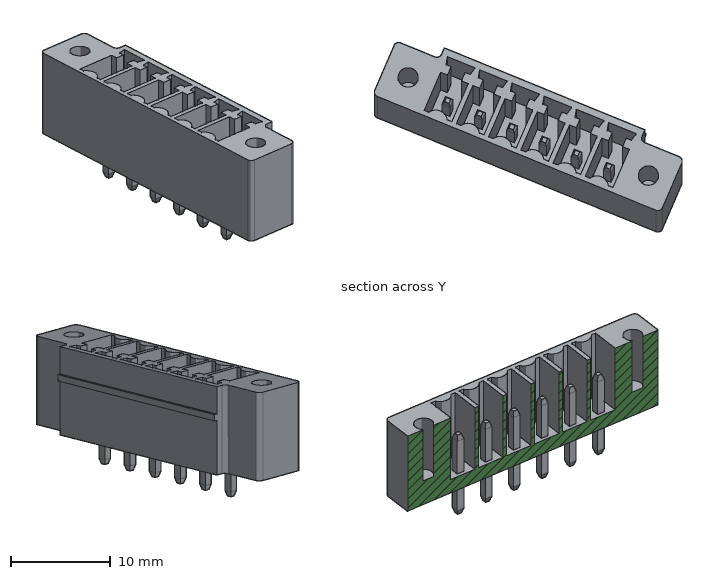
import cadquery as cq

length = 31.3
height = 9.2
flange_back_y = 3.0
front_y = -flange_back_y
rail_back_y = 4.23
rail_length = 21.82
corner_radius = 0.5

rib_depth = 0.3
rib_height = 0.65
rib_top_z = height - 2.85

pin_count = 6
pitch = 3.5
socket_depth = 7.5
socket_width = 3.0
socket_front_y = -2.5
shoulder_y = 1.75
neck_width = 1.53
dovetail_front_y = 2.7
dovetail_back_y = 3.5
dovetail_front_width = 2.63
key_radius = 1.15
key_rise = 0.55

pin_width = 0.85
pin_tip_width = 0.47
pin_tip_length = 0.6
pin_bottom_z = -3.4
pin_top_z = 6.25

screw_spacing = 26.15
screw_hole_diameter = 2.0
screw_hole_depth = 6.25


def make_housing():
    flange = (
        cq.Workplane("XY")
        .box(length, flange_back_y - front_y, height, centered=(True, False, False))
        .translate((0, front_y, 0))
        .edges("|Z")
        .fillet(corner_radius)
    )
    rail = cq.Workplane("XY").box(rail_length, rail_back_y, height, centered=(True, False, False))
    margin = corner_radius / 2
    half_rail = rail_length / 2
    inner_corners = cq.selectors.BoxSelector(
        (-half_rail - margin, flange_back_y - margin, -margin),
        (half_rail + margin, flange_back_y + margin, height + margin),
    )
    body = flange.union(rail).edges("|Z").edges(inner_corners).fillet(corner_radius)
    rib = (
        cq.Workplane("XY")
        .box(rail_length, 2 * rib_depth, rib_height)
        .translate((0, rail_back_y, rib_top_z - rib_height / 2))
    )
    return body.union(rib)


def make_socket(x):
    """Keyhole-shaped cavity with a dovetail at the back and a round key left standing at the front."""
    half_socket = socket_width / 2
    half_neck = neck_width / 2
    half_dovetail = dovetail_front_width / 2
    right_side = [
        (half_socket, socket_front_y),
        (half_socket, shoulder_y),
        (half_neck, shoulder_y),
        (half_neck, dovetail_front_y),
        (half_dovetail, dovetail_front_y),
        (half_socket, dovetail_back_y),
    ]
    left_side = [(-px, py) for px, py in reversed(right_side)]
    floor = cq.Workplane("XY").workplane(offset=height - socket_depth)
    cavity = floor.polyline(right_side + left_side).close().extrude(socket_depth)
    key_center_y = socket_front_y + key_rise - key_radius
    key = floor.center(0, key_center_y).circle(key_radius).extrude(socket_depth)
    return cavity.cut(key).translate((x, 0, 0))


def make_pin(x):
    shank_bottom_z = pin_bottom_z + pin_tip_length
    shank_top_z = pin_top_z - pin_tip_length
    pin = (
        cq.Workplane("XY")
        .workplane(offset=shank_bottom_z)
        .rect(pin_width, pin_width)
        .extrude(shank_top_z - shank_bottom_z)
    )
    for base_z, tip_z in ((shank_bottom_z, pin_bottom_z), (shank_top_z, pin_top_z)):
        tip = (
            cq.Workplane("XY")
            .workplane(offset=base_z)
            .rect(pin_width, pin_width)
            .workplane(offset=tip_z - base_z)
            .rect(pin_tip_width, pin_tip_width)
            .loft(ruled=True)
        )
        pin = pin.union(tip)
    return pin.translate((x, 0, 0))


result = make_housing()

for index in range(pin_count):
    pin_x = (index - (pin_count - 1) / 2) * pitch
    result = result.cut(make_socket(pin_x)).union(make_pin(pin_x))

result = (
    result.faces(">Z")
    .workplane(origin=(0, 0, height))
    .pushPoints([(-screw_spacing / 2, 0), (screw_spacing / 2, 0)])
    .hole(screw_hole_diameter, screw_hole_depth)
)